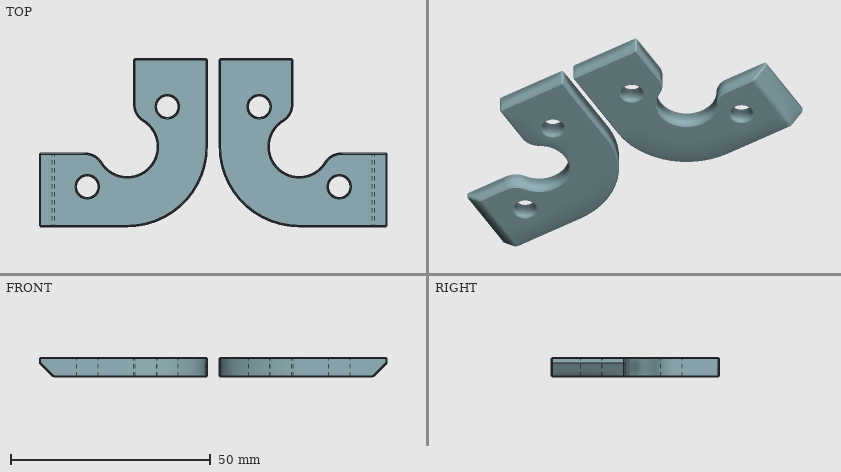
import cadquery as cq
import math

overall_width = 87.0
bracket_size = 42.0
thickness = 5.0
leg_width = 18.45
outer_radius = 20.0
notch_radius = 7.5
blend_radius = 5.0
hole_diameter = 5.4
hole_offset = 10.0
edge_chamfer = 0.35
end_bevel = 3.5

center_x = -outer_radius
center_y = outer_radius
half_root = math.sqrt(0.5)

blend_side = outer_radius - leg_width + blend_radius
blend_reach = math.sqrt((notch_radius + blend_radius) ** 2 - blend_side ** 2)
touch_ratio = notch_radius / (notch_radius + blend_radius)
touch_side = blend_side * touch_ratio
touch_reach = blend_reach * touch_ratio


def blend_middle():
    """Midpoint of the Y leg's blend arc, as (side, reach) from the corner centre."""
    start_angle = math.pi
    end_angle = math.pi + math.atan2(blend_reach, blend_side)
    angle = (start_angle + end_angle) / 2
    side = blend_side + blend_radius * math.cos(angle)
    reach = blend_reach + blend_radius * math.sin(angle)
    return side, reach


def on_y_leg(side, reach):
    return center_x + side, center_y + reach


def on_x_leg(side, reach):
    return center_x - reach, center_y - side


def make_plate():
    middle = blend_middle()
    outer_middle = (
        center_x + outer_radius * half_root,
        center_y - outer_radius * half_root,
    )
    notch_middle = (
        center_x + notch_radius * half_root,
        center_y - notch_radius * half_root,
    )
    return (
        cq.Workplane("XY")
        .moveTo(-bracket_size, 0)
        .lineTo(center_x, 0)
        .threePointArc(outer_middle, (0, center_y))
        .lineTo(0, bracket_size)
        .lineTo(-leg_width, bracket_size)
        .lineTo(-leg_width, center_y + blend_reach)
        .threePointArc(on_y_leg(*middle), on_y_leg(touch_side, touch_reach))
        .threePointArc(notch_middle, on_x_leg(touch_side, touch_reach))
        .threePointArc(on_x_leg(*middle), (center_x - blend_reach, leg_width))
        .lineTo(-bracket_size, leg_width)
        .close()
        .extrude(thickness)
    )


def make_end_bevel():
    """Wedge removed from below the end of the X leg."""
    return (
        cq.Workplane("XZ")
        .moveTo(-bracket_size, 0)
        .lineTo(-bracket_size + end_bevel, 0)
        .lineTo(-bracket_size, end_bevel)
        .close()
        .extrude(-leg_width)
    )


def chamfer_outline(bracket):
    """Break the top and bottom rims and the corners at both leg ends."""
    rims = bracket.faces("<Z or >Z").edges()
    y_leg_corners = bracket.faces(">Y").edges("|Z")
    x_leg_corners = bracket.faces("<X").edges("|Z")
    bevel_sides = bracket.edges(cq.selectors.ParallelDirSelector(cq.Vector(1, 0, -1)))
    return (
        rims.add(y_leg_corners)
        .add(x_leg_corners)
        .add(bevel_sides)
        .chamfer(edge_chamfer)
    )


def make_left_bracket():
    hole_centers = [
        (center_x - hole_offset, hole_offset),
        (-hole_offset, center_y + hole_offset),
    ]
    holes = (
        cq.Workplane("XY")
        .pushPoints(hole_centers)
        .circle(hole_diameter / 2)
        .extrude(thickness)
    )
    bracket = make_plate().cut(holes).cut(make_end_bevel())
    bracket = chamfer_outline(bracket)
    return bracket.translate((bracket_size - overall_width / 2, 0, 0))


left_bracket = make_left_bracket()
right_bracket = left_bracket.mirror("YZ")

result = cq.Compound.makeCompound([left_bracket.val(), right_bracket.val()])